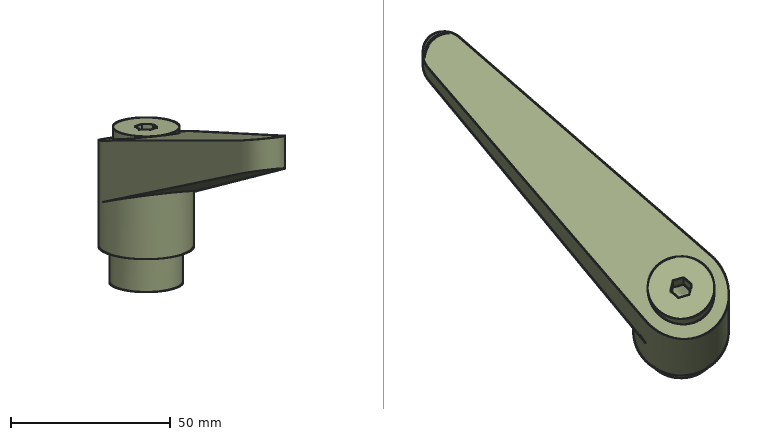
import cadquery as cq
import math

hub_radius = 15.0
tip_radius = 7.1
lever_reach = 108.0
foot_radius = 11.6
foot_height = 11.8
tip_top_height = 76.9
hub_back_height = 43.5
underside_start = 27.9
underside_end = 66.7
button_radius = 10.5
button_top = 50.5
slit_end = (104.7, 5.4)
slit_reach = 107.0
slit_width = 0.4
slit_depth = 1.8
hex_flats = 6.0
hex_depth = 6.2
drill_point_depth = 2.0

tip_center = lever_reach - tip_radius
tangent_sine = (hub_radius - tip_radius) / tip_center
tangent_cosine = math.sqrt(1 - tangent_sine**2)
hub_tangent = (hub_radius * tangent_sine, hub_radius * tangent_cosine)
tip_tangent = (tip_center + tip_radius * tangent_sine, tip_radius * tangent_cosine)


def mirrored(point):
    return (point[0], -point[1])


def top_height_at(x):
    """Height of the sloping top plane at a given X."""
    slope = (tip_top_height - hub_back_height) / (lever_reach + hub_radius)
    return hub_back_height + slope * (x + hub_radius)


def make_cylinder(radius, bottom, top):
    return cq.Workplane("XY").workplane(offset=bottom).circle(radius).extrude(top - bottom)


def make_side_prism(points):
    """Extrude an XZ outline across the full width of the hub."""
    return cq.Workplane("XZ").polyline(points).close().extrude(hub_radius * 2, both=True)


def make_hub():
    """Upright cylinder cut off by the sloping top plane."""
    below_top = make_side_prism([
        (-hub_radius, foot_height),
        (lever_reach, foot_height),
        (lever_reach, tip_top_height),
        (-hub_radius, hub_back_height),
    ])
    return make_cylinder(hub_radius, foot_height, tip_top_height).intersect(below_top)


def make_lever():
    """Tapered plan outline trimmed by the sloping top and the steeper underside."""
    plan = (
        cq.Workplane("XY")
        .moveTo(*hub_tangent)
        .lineTo(*tip_tangent)
        .threePointArc((lever_reach, 0), mirrored(tip_tangent))
        .lineTo(*mirrored(hub_tangent))
        .close()
        .extrude(tip_top_height)
    )
    side = make_side_prism([
        (hub_tangent[0], underside_start),
        (lever_reach, underside_end),
        (lever_reach, tip_top_height),
        (hub_tangent[0], top_height_at(hub_tangent[0])),
    ])
    return plan.intersect(side)


def make_tip_slit():
    """Narrow crescent slit sunk into the top face just inside the rounded tip."""
    return (
        cq.Workplane("XY")
        .workplane(offset=tip_top_height - slit_depth)
        .moveTo(*slit_end)
        .threePointArc((slit_reach, 0), mirrored(slit_end))
        .threePointArc((slit_reach - slit_width, 0), slit_end)
        .close()
        .extrude(slit_depth)
    )


def make_hex_socket():
    """Hexagonal recess with corners on the X axis, ending in a conical point."""
    corner_radius = hex_flats / math.sqrt(3)
    depth = hex_depth + drill_point_depth
    hexagon = (
        cq.Workplane("XY")
        .workplane(offset=button_top - depth)
        .polygon(6, 2 * corner_radius)
        .extrude(depth)
    )
    pointed_bore = (
        cq.Workplane("XZ")
        .polyline([
            (0, button_top - depth),
            (corner_radius, button_top - hex_depth),
            (corner_radius, button_top),
            (0, button_top),
        ])
        .close()
        .revolve(360, (0, 0, 0), (0, 1, 0))
    )
    return hexagon.intersect(pointed_bore)


foot = make_cylinder(foot_radius, 0, foot_height)
button = make_cylinder(button_radius, foot_height, button_top)
result = foot.union(make_hub()).union(make_lever().cut(make_tip_slit())).union(button).cut(make_hex_socket())